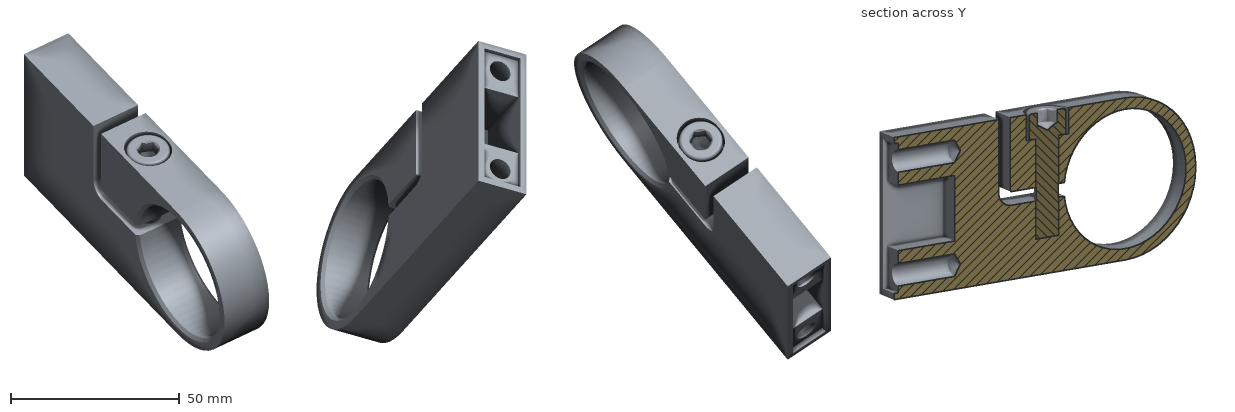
import cadquery as cq
import math

LENGTH = 106.4
HEIGHT = 50.0
THICKNESS = 16.0
EYE_RADIUS = HEIGHT / 2
EYE_X = LENGTH - EYE_RADIUS
BORE_RADIUS = 21.4
BORE_CHAMFER = 1.0

SLIT_WIDTH = 4.0
SLIT_LEFT_X = 36.9
SLIT_RIGHT_X = SLIT_LEFT_X + SLIT_WIDTH
SLIT_INNER_RADIUS = 0.5
SLIT_OUTER_RADIUS = SLIT_INNER_RADIUS + SLIT_WIDTH

RIM = 2.0
RECESS_WIDTH = THICKNESS - 2 * RIM
RECESS_HEIGHT = HEIGHT - 2 * RIM
RECESS_DEPTH = 1.5
POCKET_HEIGHT = 20.0
POCKET_DEPTH = 21.3
MOUNT_HOLE_DIAMETER = 6.8
MOUNT_HOLE_SPACING = 35.0
MOUNT_HOLE_DEPTH = 21.3
DRILL_POINT_ANGLE = 118.0

SCREW_X = 54.0
SHANK_DIAMETER = 8.0
SHANK_REACH = 11.7
HEAD_DIAMETER = 13.0
HEAD_HEIGHT = 8.0
HEAD_FILLET = 1.0
HEAD_SLOT_LENGTH = 14.9
HEAD_SLOT_WIDTH = 13.4
SOCKET_ACROSS_FLATS = 6.0
SOCKET_DEPTH = 4.0
SOCKET_MOUTH_DIAMETER = 7.1
SOCKET_MOUTH_ANGLE = 90.0

TOP_Z = HEIGHT / 2
HEAD_SEAT_Z = TOP_Z - HEAD_HEIGHT
SHANK_END_Z = -SLIT_WIDTH / 2 - SHANK_REACH


def cone_height(diameter, point_angle):
    """Height of a cone of the given base diameter and full point angle in degrees."""
    return diameter / 2 / math.tan(math.radians(point_angle / 2))


def along_y(x, radius, length):
    """Cylinder along Y, centred on the XZ plane."""
    return cq.Workplane("XZ").center(x, 0).circle(radius).extrude(length / 2, both=True)


def clamp_blank():
    block = cq.Workplane("XY").box(EYE_X, THICKNESS, HEIGHT).translate((EYE_X / 2, 0, 0))
    return block.union(along_y(EYE_X, EYE_RADIUS, THICKNESS))


def bore():
    """Through bore with both rims chamfered."""
    mouth_radius = BORE_RADIUS + BORE_CHAMFER
    half = THICKNESS / 2
    profile = [
        (0, -half),
        (mouth_radius, -half),
        (BORE_RADIUS, -half + BORE_CHAMFER),
        (BORE_RADIUS, half - BORE_CHAMFER),
        (mouth_radius, half),
        (0, half),
    ]
    return (
        cq.Workplane("XY").polyline(profile).close()
        .revolve(360, (0, 0, 0), (0, 1, 0))
        .translate((EYE_X, 0, 0))
    )


def slit():
    """L-shaped slit from the top face down to mid height and across to the bore."""
    half = SLIT_WIDTH / 2
    outline = [
        (SLIT_LEFT_X, TOP_Z),
        (SLIT_LEFT_X, -half),
        (EYE_X, -half),
        (EYE_X, half),
        (SLIT_RIGHT_X, half),
        (SLIT_RIGHT_X, TOP_Z),
    ]
    cut = cq.Workplane("XZ").polyline(outline).close().extrude(THICKNESS / 2, both=True)
    outer_corner = cq.selectors.NearestToPointSelector((SLIT_LEFT_X, 0, -half))
    inner_corner = cq.selectors.NearestToPointSelector((SLIT_RIGHT_X, 0, half))
    cut = cut.edges("|Y").edges(outer_corner).fillet(SLIT_OUTER_RADIUS)
    return cut.edges("|Y").edges(inner_corner).fillet(SLIT_INNER_RADIUS)


def end_pocket(height, depth):
    """Rectangular pocket cut into the X = 0 end."""
    return cq.Workplane("YZ").rect(RECESS_WIDTH, height).extrude(depth)


def mount_hole(z):
    """Blind drilled hole along X with a conical bottom."""
    radius = MOUNT_HOLE_DIAMETER / 2
    tip_x = MOUNT_HOLE_DEPTH + cone_height(MOUNT_HOLE_DIAMETER, DRILL_POINT_ANGLE)
    profile = [(0, 0), (0, radius), (MOUNT_HOLE_DEPTH, radius), (tip_x, 0)]
    return (
        cq.Workplane("XZ").polyline(profile).close()
        .revolve(360, (0, 0, 0), (1, 0, 0))
        .translate((0, 0, z))
    )


def shank():
    return (
        cq.Workplane("XY", origin=(SCREW_X, 0, SHANK_END_Z))
        .circle(SHANK_DIAMETER / 2)
        .extrude(HEAD_SEAT_Z - SHANK_END_Z)
    )


def head_slot():
    """Elongated counterbore that houses the screw head."""
    return (
        cq.Workplane("XY", origin=(SCREW_X, 0, HEAD_SEAT_Z))
        .slot2D(HEAD_SLOT_LENGTH, HEAD_SLOT_WIDTH)
        .extrude(TOP_Z - HEAD_SEAT_Z)
    )


def make_clamp():
    clamp = clamp_blank().cut(bore()).cut(slit())
    clamp = clamp.cut(end_pocket(RECESS_HEIGHT, RECESS_DEPTH))
    clamp = clamp.cut(end_pocket(POCKET_HEIGHT, POCKET_DEPTH))
    for side in (-1, 1):
        clamp = clamp.cut(mount_hole(side * MOUNT_HOLE_SPACING / 2))
    return clamp.cut(head_slot()).cut(shank())


def cone(diameter, point_angle, base_z):
    """Cone on the screw axis pointing down from base_z."""
    solid = cq.Solid.makeCone(
        diameter / 2, 0, cone_height(diameter, point_angle),
        cq.Vector(SCREW_X, 0, base_z), cq.Vector(0, 0, -1),
    )
    return cq.Workplane(obj=solid)


def hex_socket():
    """Hexagon socket with a countersunk mouth and a conical bottom."""
    across_corners = SOCKET_ACROSS_FLATS / math.cos(math.pi / 6)
    floor_z = TOP_Z - SOCKET_DEPTH
    hexagon = (
        cq.Workplane("XY", origin=(SCREW_X, 0, floor_z))
        .polygon(6, across_corners)
        .extrude(SOCKET_DEPTH)
    )
    mouth = cone(SOCKET_MOUTH_DIAMETER, SOCKET_MOUTH_ANGLE, TOP_Z)
    tip = cone(SOCKET_ACROSS_FLATS, DRILL_POINT_ANGLE, floor_z)
    return hexagon.union(mouth).union(tip)


def make_screw():
    head = (
        cq.Workplane("XY", origin=(SCREW_X, 0, HEAD_SEAT_Z))
        .circle(HEAD_DIAMETER / 2)
        .extrude(HEAD_HEIGHT)
        .faces(">Z").edges().fillet(HEAD_FILLET)
    )
    return head.union(shank()).cut(hex_socket())


clamp = make_clamp()
screw = make_screw()
result = cq.Compound.makeCompound([clamp.val(), screw.val()])